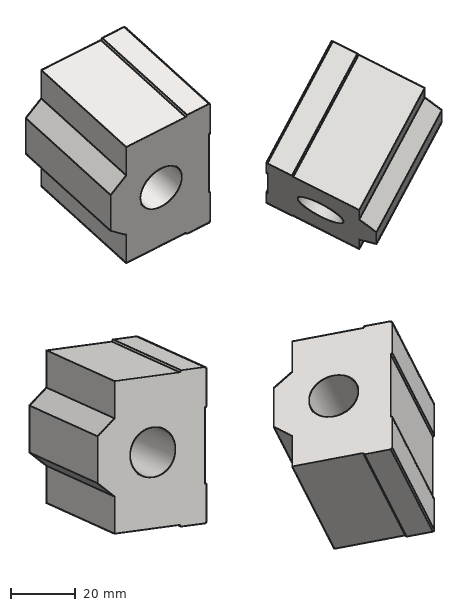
import cadquery as cq

length = 44.0
height = 50.0
body_depth = 32.5
nose_depth = 6.0

band_depth = 9.5
band_rise = 0.6
band_bevel = 0.5
back_chamfer = 0.5

recess_depth = 0.5
recess_height = 25.0
recess_bevel = 0.5

nose_root_height = 25.0
nose_tip_height = 15.0

bore_diameter = 16.0
bore_to_back = 19.0

back_y = bore_to_back
body_front_y = back_y - body_depth
nose_tip_y = body_front_y - nose_depth
band_front_y = back_y - band_depth
recess_y = back_y - recess_depth
band_z = height / 2
body_z = band_z - band_rise


def make_body():
    """Extrude the profile, symmetric about Z = 0."""
    upper_half = [
        (nose_tip_y, nose_tip_height / 2),
        (body_front_y, nose_root_height / 2),
        (body_front_y, body_z),
        (band_front_y, body_z),
        (band_front_y + band_bevel, band_z),
        (back_y - back_chamfer, band_z),
        (back_y, band_z - back_chamfer),
        (back_y, recess_height / 2),
        (recess_y, recess_height / 2 - recess_bevel),
    ]
    lower_half = [(y, -z) for y, z in reversed(upper_half)]
    profile = cq.Workplane("YZ").polyline(upper_half + lower_half).close()
    return profile.extrude(length / 2, both=True)


def make_bore():
    """Through bore along the length of the block."""
    return cq.Workplane("YZ").circle(bore_diameter / 2).extrude(length / 2, both=True)


result = make_body().cut(make_bore())